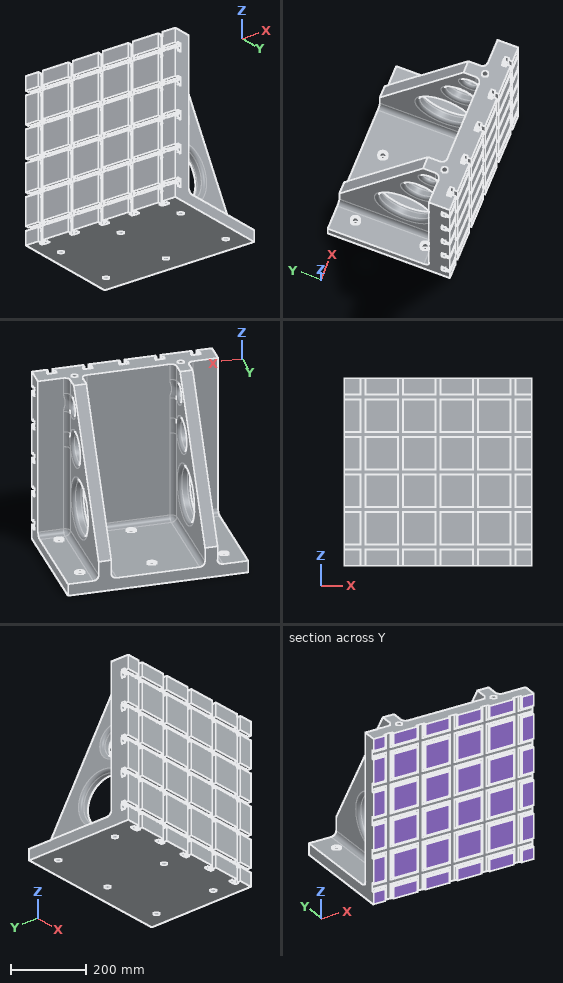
import cadquery as cq
import math

width = 500.0
depth = 350.0
height = 500.0

wall_thickness = 60.0
foot_thickness = 35.0
root_radius = 15.0

rib_thickness = 35.0
rib_centre_x = 147.5
rib_top_y = 110.0
rib_heel_z = 90.0

rib_holes = [(45.0, 92.5, 427.5), (85.0, 122.5, 317.5), (150.0, 165.0, 160.0)]
rib_hole_rounding = 10.0

slot_pitch = 100.0
slot_count = 5
neck_width = 14.0
relief_chamfer = 1.0
head_width = 25.0
head_start = 12.0
head_end = 23.0
relief_end = 24.0

bolt_diameter = 18.0
spotface_diameter = 26.0
spotface_depth = 5.0
bolt_columns_x = (-200.0, 0.0, 200.0)
bolt_rows_y = (90.0, 290.0)

lift_diameter = 17.5
lift_depth = 40.0
lift_y = 55.0
drill_point_angle = 118.0

rib_sides = (-1, 1)
tolerance = 0.01


def make_block(size_x, size_y, size_z):
    """Block centred on X, running from Y = 0 and Z = 0."""
    return cq.Workplane("XY").box(size_x, size_y, size_z, centered=(True, False, False))


def make_rib(centre_x):
    """Rib plate with a sloping back and rounded lightening holes."""
    outline = [(0, 0), (depth, 0), (depth, rib_heel_z), (rib_top_y, height), (0, height)]
    rib = cq.Workplane("YZ").polyline(outline).close().extrude(rib_thickness / 2, both=True)
    for diameter, y, z in rib_holes:
        bore = cq.Workplane("YZ").center(y, z).circle(diameter / 2)
        rib = rib.cut(bore.extrude(rib_thickness, both=True))
    rib = rib.edges("%CIRCLE").fillet(rib_hole_rounding)
    return rib.translate((centre_x, 0, 0))


def is_root_edge(edge):
    """True for an inside corner line between any two of the wall, the foot and a rib."""
    centre = edge.Center()
    rib_offset = abs(abs(centre.x) - rib_centre_x)
    on_wall = abs(centre.y - wall_thickness) < tolerance
    on_foot = abs(centre.z - foot_thickness) < tolerance
    on_rib = abs(rib_offset - rib_thickness / 2) < tolerance
    on_outside = centre.z > height - tolerance or centre.y > depth - tolerance
    return on_wall + on_foot + on_rib == 2 and not on_outside


def make_casting():
    """Wall, foot and ribs joined, with rounded inside corners."""
    wall = make_block(width, wall_thickness, height)
    foot = make_block(width, depth, foot_thickness)
    body = wall.union(foot)
    for side in rib_sides:
        body = body.union(make_rib(side * rib_centre_x))
    root_edges = [edge for edge in body.edges("%LINE").vals() if is_root_edge(edge)]
    return body.newObject(root_edges).fillet(root_radius)


def make_upright_slot():
    """T-slot cutter along the full height, centred on X = 0."""
    neck = make_block(neck_width, relief_end, height)
    neck = neck.edges("|Z and >Y").chamfer(relief_chamfer)
    head = make_block(head_width, head_end - head_start, height)
    return neck.union(head.translate((0, head_start, 0)))


def cut_slots(body):
    """Crossing upright and level T-slots in the front face."""
    middle = (0, 0, height / 2)
    upright = make_upright_slot()
    level = upright.rotate(middle, (0, 1, height / 2), 90)
    for index in range(slot_count):
        offset = (index - (slot_count - 1) / 2) * slot_pitch
        body = body.cut(upright.translate((offset, 0, 0)))
        body = body.cut(level.translate((0, 0, offset)))
    return body


def cut_bolt_holes(body):
    """Spotfaced through holes in the foot."""
    places = [(x, y) for x in bolt_columns_x for y in bolt_rows_y]
    top = cq.Workplane("XY", origin=(0, 0, foot_thickness)).pushPoints(places)
    bores = top.circle(bolt_diameter / 2).extrude(-foot_thickness)
    spotfaces = top.circle(spotface_diameter / 2).extrude(-spotface_depth)
    return body.cut(bores).cut(spotfaces)


def cut_lifting_holes(body):
    """Blind drilled holes with conical ends."""
    radius = lift_diameter / 2
    point_depth = radius / math.tan(math.radians(drill_point_angle / 2))
    half_section = [(0, 0), (radius, 0), (radius, -lift_depth), (0, -lift_depth - point_depth)]
    drill = cq.Workplane("XZ").polyline(half_section).close().revolve(360, (0, 0), (0, 1))
    for side in rib_sides:
        body = body.cut(drill.translate((side * rib_centre_x, lift_y, height)))
    return body


result = make_casting()
result = cut_slots(result)
result = cut_bolt_holes(result)
result = cut_lifting_holes(result)